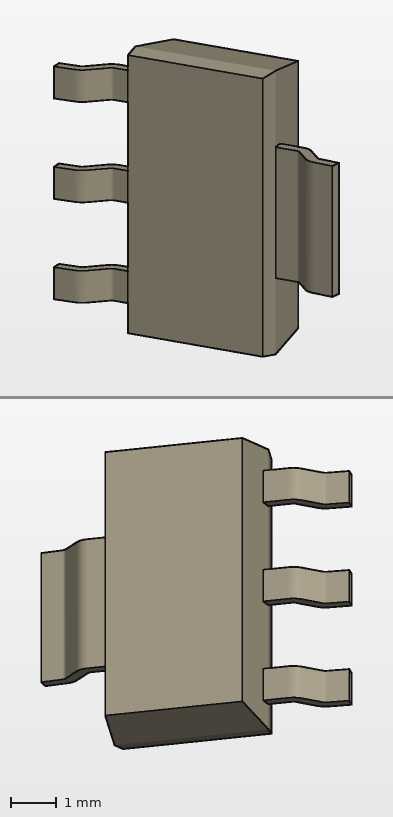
import cadquery as cq
import math

SPAN_X = 7.0
BODY_WIDTH = 3.5
BODY_LENGTH = 6.5
TOTAL_HEIGHT = 1.904
STANDOFF = 0.1
PARTING_Y = 0.55
DRAFT_ANGLE = 8

LEAD_THICKNESS = 0.27
LEAD_WIDTH = 0.735
LEAD_PITCH = 2.3
LEAD_COUNT = 3
TAB_WIDTH = 3.0
SHOULDER_LENGTH = 0.58
SLOPE_ANGLE = 45
FOOT_ANGLE = 4
BEND_INNER_RADIUS = 0.1
BEND_OUTER_RADIUS = BEND_INNER_RADIUS + LEAD_THICKNESS


def make_body():
    """Moulded body: two tapered halves meeting at the parting plane."""
    front_half = (
        cq.Workplane("XZ", origin=(0, PARTING_Y, 0))
        .rect(BODY_WIDTH, BODY_LENGTH)
        .extrude(PARTING_Y - STANDOFF, taper=DRAFT_ANGLE)
    )
    back_half = (
        cq.Workplane("ZX", origin=(0, PARTING_Y, 0))
        .rect(BODY_LENGTH, BODY_WIDTH)
        .extrude(TOTAL_HEIGHT - PARTING_Y, taper=DRAFT_ANGLE)
    )
    return front_half.union(back_half)


def back_of_corner(corner, angle_before, angle_after):
    """Sharp corner on the upper face, one lead thickness away from a corner of the underside."""
    middle = math.radians((angle_before + angle_after) / 2)
    half_turn = math.radians((angle_before - angle_after) / 2)
    distance = LEAD_THICKNESS / math.cos(half_turn)
    return (corner[0] - distance * math.sin(middle), corner[1] + distance * math.cos(middle))


def make_lead(width, z_center):
    """Gull-wing strip on the -X side; it ends flush on the tapered side of the body."""
    slope = math.tan(math.radians(SLOPE_ANGLE))
    foot_slope = math.tan(math.radians(FOOT_ANGLE))

    root = (-BODY_WIDTH / 2, PARTING_Y)
    shoulder = (root[0] - SHOULDER_LENGTH, PARTING_Y)
    toe = (-SPAN_X / 2 + LEAD_THICKNESS * math.sin(math.radians(FOOT_ANGLE)), 0)
    heel_x = (slope * shoulder[0] - PARTING_Y - foot_slope * toe[0]) / (slope - foot_slope)
    heel = (heel_x, foot_slope * (heel_x - toe[0]))

    toe_back = back_of_corner(toe, FOOT_ANGLE, FOOT_ANGLE)
    heel_back = back_of_corner(heel, FOOT_ANGLE, SLOPE_ANGLE)
    shoulder_back = back_of_corner(shoulder, SLOPE_ANGLE, 0)
    draft_shift = LEAD_THICKNESS * math.tan(math.radians(DRAFT_ANGLE))
    root_back = (root[0] + draft_shift, PARTING_Y + LEAD_THICKNESS)

    strip = (
        cq.Workplane("XY", origin=(0, 0, z_center))
        .polyline([root, shoulder, heel, toe, toe_back, heel_back, shoulder_back, root_back])
        .close()
        .extrude(width / 2, both=True)
    )
    for corner, radius in (
        (shoulder, BEND_INNER_RADIUS),
        (shoulder_back, BEND_OUTER_RADIUS),
        (heel, BEND_OUTER_RADIUS),
        (heel_back, BEND_INNER_RADIUS),
    ):
        bend_edge = cq.selectors.NearestToPointSelector((corner[0], corner[1], z_center))
        strip = strip.edges("|Z").edges(bend_edge).fillet(radius)
    return strip


def make_tab():
    """Wide tab on the +X side, with the lead profile mirrored."""
    return make_lead(TAB_WIDTH, 0).mirror("YZ")


body = make_body()
tab = make_tab()
leads = []
for index in range(LEAD_COUNT):
    lead_z = (index - (LEAD_COUNT - 1) / 2) * LEAD_PITCH
    leads.append(make_lead(LEAD_WIDTH, lead_z).val())

result = cq.Compound.makeCompound([body.val(), tab.val(), *leads])